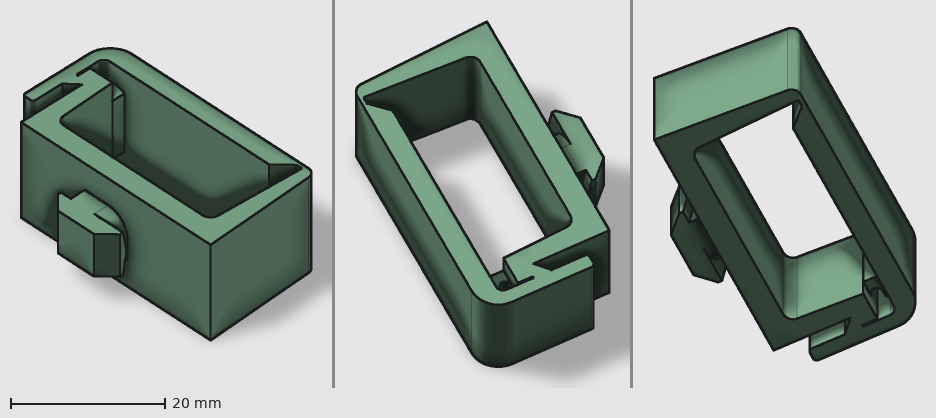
import cadquery as cq
import math

length = 39.0
body_depth = 20.05
height = 16.0

tray_left = 3.85
floor_thickness = 3.5
inner_left = 6.85
inner_right = 35.35
floor_fillet = 1.4
inner_draft = math.tan(math.radians(2.7))
outer_draft = math.tan(math.radians(3))
outer_hinge_fillet = 1.35
shelf_y = 14.15

lid_thickness = 3.12
lid_underside = body_depth - lid_thickness
lid_corner_radius = 3.9
lid_inner_radius = 1.0
arm_thickness = 1.95
arm_end_y = 4.05
arm_end_fillet = 0.5

hinge_thickness = 0.62
hinge_underside = body_depth - hinge_thickness
hinge_start = 35.05
hinge_fillet = 0.2

ledge_left = 2.2
gap_bottom = 12.0
barb_top_y = 11.08
barb_bottom_y = 9.35

lip_inset = 3.12
lip_height = height - 2 * lip_inset
lip_left = 3.0
lip_right = 6.3
lip_top = 16.85
lip_shoulder_x = 4.3
lip_shoulder_y = 16.4
lip_bottom = 15.85
lip_fillet = 0.2
lip_hollow_radius = (lip_bottom - shelf_y) / 2
lip_hollow_x = 3.98

stud_x = 19.6
stud_height = 7.1
neck_width = 7.9
head_width = 11.45
head_end_y = -5.45
head_ridge_y = -1.87
head_shoulder_y = -2.55
head_chamfer = 2.38


def inner_left_at(y):
    return inner_left - (y - floor_thickness) * inner_draft


def inner_right_at(y):
    return inner_right + (y - floor_thickness) * inner_draft


def extrude_outline(points, thickness=height):
    return cq.Workplane("XY").polyline(points).close().extrude(thickness)


def fillet_upright_edge(solid, x, y, radius):
    """Round the Z-parallel edge that passes through (x, y)."""
    reach = 0.05
    box = cq.selectors.BoxSelector((x - reach, y - reach, -0.4), (x + reach, y + reach, height + 0.4))
    return solid.edges("|Z").edges(box).fillet(radius)


def make_body():
    outer_right_top = length - body_depth * outer_draft
    outline = [
        (tray_left, 0),
        (length, 0),
        (outer_right_top, body_depth),
        (0, body_depth),
        (0, arm_end_y),
        (arm_thickness, arm_end_y),
        (arm_thickness, barb_bottom_y),
        (tray_left, barb_top_y),
    ]
    opening = [
        (inner_left, floor_thickness),
        (inner_right, floor_thickness),
        (inner_right_at(hinge_underside), hinge_underside),
        (hinge_start, hinge_underside),
        (hinge_start - (hinge_underside - lid_underside), lid_underside),
        (arm_thickness, lid_underside),
        (arm_thickness, gap_bottom),
        (ledge_left, gap_bottom),
        (ledge_left, shelf_y),
        (inner_left_at(shelf_y), shelf_y),
    ]
    body = extrude_outline(outline).cut(extrude_outline(opening))
    rounded_corners = [
        (0, body_depth, lid_corner_radius),
        (arm_thickness, lid_underside, lid_inner_radius),
        (0, arm_end_y, arm_end_fillet),
        (arm_thickness, arm_end_y, arm_end_fillet),
        (inner_left, floor_thickness, floor_fillet),
        (inner_right, floor_thickness, floor_fillet),
        (inner_right_at(hinge_underside), hinge_underside, hinge_fillet),
        (outer_right_top, body_depth, outer_hinge_fillet),
    ]
    for x, y, radius in rounded_corners:
        body = fillet_upright_edge(body, x, y, radius)
    return body


def make_lip():
    lip = (
        cq.Workplane("XY")
        .moveTo(lip_hollow_x, shelf_y)
        .lineTo(lip_right, shelf_y)
        .lineTo(lip_right, lip_shoulder_y)
        .lineTo(lip_shoulder_x, lip_top)
        .lineTo(lip_left, lip_top)
        .lineTo(lip_left, lip_bottom)
        .lineTo(lip_hollow_x, lip_bottom)
        .threePointArc(
            (lip_hollow_x + lip_hollow_radius, shelf_y + lip_hollow_radius),
            (lip_hollow_x, shelf_y),
        )
        .close()
        .extrude(lip_height)
    )
    rounded_corners = [(lip_right, lip_shoulder_y), (lip_left, lip_top), (lip_left, lip_bottom)]
    for x, y in rounded_corners:
        lip = fillet_upright_edge(lip, x, y, lip_fillet)
    return lip.translate((0, 0, lip_inset))


def make_stud():
    half_height = stud_height / 2
    half_neck = neck_width / 2
    half_head = head_width / 2
    arc_start = half_neck - half_height
    diagonal = half_height * math.sqrt(0.5)
    mid_plane = cq.Workplane("XZ", origin=(stud_x, 0, height / 2))

    neck = (
        mid_plane.moveTo(-half_neck, half_height)
        .lineTo(arc_start, half_height)
        .threePointArc((arc_start + diagonal, diagonal), (half_neck, 0))
        .lineTo(half_neck, -half_height)
        .lineTo(-arc_start, -half_height)
        .threePointArc((-arc_start - diagonal, -diagonal), (-half_neck, 0))
        .close()
        .extrude(-head_shoulder_y)
    )

    head = (
        cq.Workplane("YZ", origin=(stud_x, 0, height / 2))
        .polyline([
            (head_end_y, -half_height),
            (head_shoulder_y, -half_height),
            (head_ridge_y, 0),
            (head_shoulder_y, half_height),
            (head_end_y, half_height),
        ])
        .close()
        .extrude(half_head, both=True)
        .edges("<Y and |Z")
        .chamfer(head_chamfer)
    )
    return neck.union(head)


result = make_body().union(make_lip()).union(make_stud())